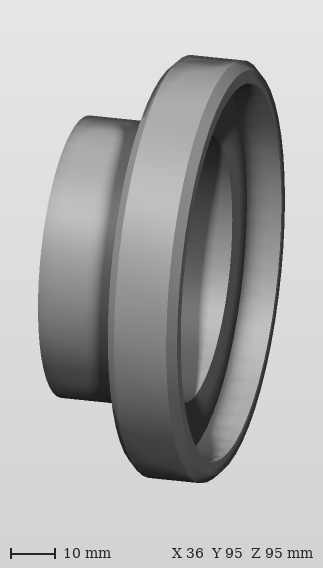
import cadquery as cq

total_length = 36.0
flange_diameter = 95.0
flange_thickness = 16.1
flange_chamfer = 2.0
sleeve_diameter = 63.5
bore_diameter = 60.2
neck_fillet = 4.0
recess_diameter = 85.0
recess_depth = 8.0

flange_start = total_length - flange_thickness


def cylinder_along_x(diameter, start, length):
    """Cylinder centred on the X axis, growing toward +X from start."""
    return cq.Workplane("YZ", origin=(start, 0, 0)).circle(diameter / 2).extrude(length)


flange = cylinder_along_x(flange_diameter, flange_start, flange_thickness)
flange = flange.faces("<X or >X").edges().chamfer(flange_chamfer)

sleeve_radius = sleeve_diameter / 2
flare_radius = sleeve_radius + neck_fillet
flare_start = flange_start - neck_fillet
sleeve = (
    cq.Workplane("XY")
    .lineTo(0, sleeve_radius)
    .lineTo(flare_start, sleeve_radius)
    .tangentArcPoint((flange_start, flare_radius), relative=False)
    .lineTo(flange_start, 0)
    .close()
    .revolve(360, (0, 0, 0), (1, 0, 0))
)
body = flange.union(sleeve)

bore = cylinder_along_x(bore_diameter, 0, total_length)
recess = cylinder_along_x(recess_diameter, total_length - recess_depth, recess_depth)
result = body.cut(bore).cut(recess)